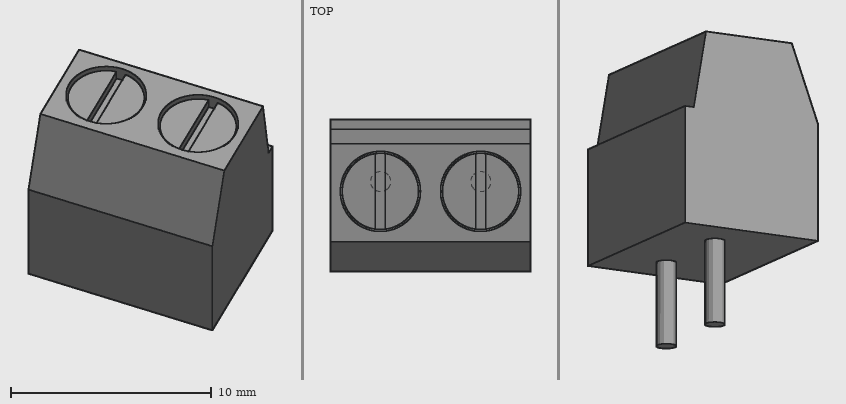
import cadquery as cq

WIDTH = 10.0
DEPTH = 7.6
TOTAL_HEIGHT = 14.3
HOUSING_HEIGHT = 10.0
SHOULDER_HEIGHT = 6.0
FRONT_SLOPE_RUN = 1.5
BACK_LEDGE_DEPTH = 0.5
BACK_SLOPE_RUN = 0.7

POLE_COUNT = 2
POLE_PITCH = WIDTH / POLE_COUNT
POLE_POSITIONS = [(i - (POLE_COUNT - 1) / 2) * POLE_PITCH for i in range(POLE_COUNT)]

WELL_DIAMETER = 4.0
WELL_Y = 4.0
SCREW_DIAMETER = 3.8
SCREW_HEIGHT = 2.0
SCREW_RECESS = 0.2
SLOT_WIDTH = 0.5
SLOT_DEPTH = 0.5
WELL_DEPTH = SCREW_HEIGHT + SCREW_RECESS

PIN_DIAMETER = 1.0
PIN_Y = 4.5
PIN_LENGTH = TOTAL_HEIGHT - HOUSING_HEIGHT


def make_housing():
    """Side profile extruded across the width, with one screw well per pole."""
    back_slope_foot = DEPTH - BACK_LEDGE_DEPTH
    profile = [
        (0, 0),
        (DEPTH, 0),
        (DEPTH, SHOULDER_HEIGHT),
        (back_slope_foot, SHOULDER_HEIGHT),
        (back_slope_foot - BACK_SLOPE_RUN, HOUSING_HEIGHT),
        (FRONT_SLOPE_RUN, HOUSING_HEIGHT),
        (0, SHOULDER_HEIGHT),
    ]
    block = cq.Workplane("YZ").polyline(profile).close().extrude(WIDTH / 2, both=True)
    wells = (
        cq.Workplane("XY", origin=(0, WELL_Y, HOUSING_HEIGHT))
        .pushPoints([(x, 0) for x in POLE_POSITIONS])
        .circle(WELL_DIAMETER / 2)
        .extrude(-WELL_DEPTH)
    )
    return block.cut(wells)


def make_screw(x):
    """Cylinder on the well floor with a straight driver slot running front to back."""
    head_z = HOUSING_HEIGHT - SCREW_RECESS
    head_plane = cq.Workplane("XY", origin=(x, WELL_Y, head_z))
    body = head_plane.circle(SCREW_DIAMETER / 2).extrude(-SCREW_HEIGHT)
    slot = head_plane.rect(SLOT_WIDTH, SCREW_DIAMETER).extrude(-SLOT_DEPTH)
    return body.cut(slot)


def make_pin(x):
    """Plain round pin that meets the underside of the housing."""
    return cq.Workplane("XY", origin=(x, PIN_Y, 0)).circle(PIN_DIAMETER / 2).extrude(-PIN_LENGTH)


housing = make_housing()
screws = [make_screw(x) for x in POLE_POSITIONS]
pins = [make_pin(x) for x in POLE_POSITIONS]

result = cq.Compound.makeCompound([
    housing.val(),
    *[screw.val() for screw in screws],
    *[pin.val() for pin in pins],
])